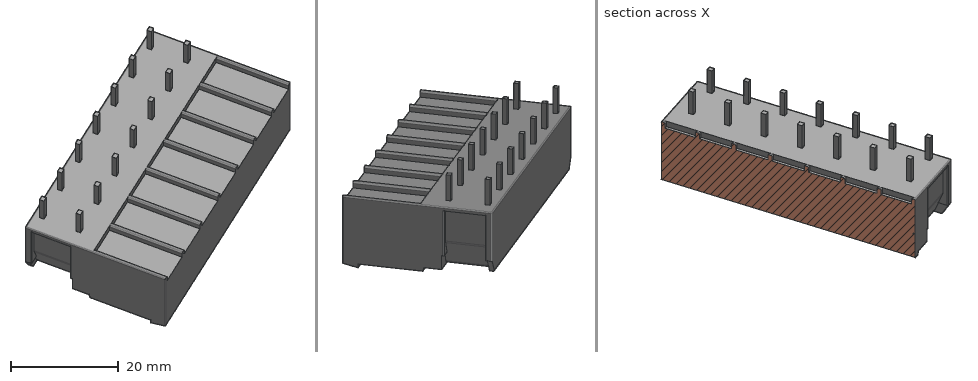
import cadquery as cq
import math

LENGTH_X = 29.0
WIDTH_Y = 53.35
HEIGHT_Z = 19.3
EDGE_RADIUS = 0.2

POLES = 7
POLE_PITCH = 7.65
PIN_ROWS = 2
ROW_PITCH = 7.6
FIRST_ROW_X = 1.85
PIN_X = 0.9
PIN_Y = 1.0
PIN_LENGTH = 5.2

FRONT_DEPTH = 12.5
STEP_DEPTH = 12.65
FOOT_DEPTH = 13.4
REAR_DEPTH = 13.55
HOOK_DEPTH = HEIGHT_Z - PIN_LENGTH
STEP_X = 9.8
FOOT_X = 13.45
FOOT_CHAMFER = 0.2
HOOK_X = 26.0
FRONT_RADIUS = 0.3

TROUGH_X = 14.05
TROUGH_DEPTH = 1.25
RIB_WIDTH = 0.95
END_RIB_WIDTH = 0.85
RIB_RADIUS = 0.3

RECESS_X = 1.4
RECESS_END_X = 9.35
RECESS_TOP_DEPTH = 0.75
RECESS_DEPTH_Y = 1.05
MOUTH_CHAMFER = 0.15
SLOPE_ANGLE = math.radians(22)
SLOPE_TOP_DEPTH = 7.4
SLOPE_TOP_RADIUS = 0.9
SLOPE_END_RADIUS = 0.8

CUT_TOP_DEPTH = 9.85
CUT_ANGLE = math.radians(30)
END_WALL = 0.95

END_Y = -WIDTH_Y / 2


def pole_y(pole):
    return (pole - (POLES - 1) / 2) * POLE_PITCH


def outline_at_x(x):
    """Workplane for a (Y, Z) outline that is extruded towards +X."""
    return cq.Workplane("YZ", origin=(x, 0, 0))


def make_body():
    profile = [
        (0, 0),
        (LENGTH_X, 0),
        (LENGTH_X, -REAR_DEPTH),
        (HOOK_X, -HOOK_DEPTH),
        (HOOK_X, -FOOT_DEPTH),
        (FOOT_X, -FOOT_DEPTH),
        (FOOT_X - FOOT_CHAMFER, -STEP_DEPTH),
        (STEP_X, -STEP_DEPTH),
        (STEP_X, -FRONT_DEPTH),
        (0, -FRONT_DEPTH),
    ]
    body = cq.Workplane("XZ").polyline(profile).close().extrude(WIDTH_Y / 2, both=True)
    corner_edges = "|Z and (<Y or >Y) and (<X or >X)"
    rim_edges = ">Z and (not >X)"
    body = body.edges(f"({corner_edges}) or ({rim_edges})").fillet(EDGE_RADIUS)
    front_bottom_edge = cq.NearestToPointSelector((0, 0, -FRONT_DEPTH))
    return body.edges(front_bottom_edge).fillet(FRONT_RADIUS)


def make_trough(pole):
    inner_limit = WIDTH_Y / 2 - END_RIB_WIDTH
    half_width = (POLE_PITCH - RIB_WIDTH) / 2
    low = max(pole_y(pole) - half_width, -inner_limit)
    high = min(pole_y(pole) + half_width, inner_limit)
    return (
        outline_at_x(TROUGH_X)
        .moveTo(low, -TROUGH_DEPTH)
        .lineTo(low, -RIB_RADIUS)
        .radiusArc((low - RIB_RADIUS, 0), -RIB_RADIUS)
        .lineTo(high + RIB_RADIUS, 0)
        .radiusArc((high, -RIB_RADIUS), -RIB_RADIUS)
        .lineTo(high, -TROUGH_DEPTH)
        .close()
        .extrude(LENGTH_X - TROUGH_X)
    )


def make_cavity(x_start, x_end):
    """Recess with its upright floor, rounded bend, slope and rounded lower lip."""
    floor_y = END_Y + RECESS_DEPTH_Y
    lip_y = floor_y + (FRONT_DEPTH - SLOPE_TOP_DEPTH) * math.tan(SLOPE_ANGLE)
    bend_tangent = SLOPE_TOP_RADIUS * math.tan(SLOPE_ANGLE / 2)
    lip_tangent = SLOPE_END_RADIUS * math.tan((math.pi / 2 - SLOPE_ANGLE) / 2)
    along_y = math.sin(SLOPE_ANGLE)
    along_z = math.cos(SLOPE_ANGLE)
    bend_end = (floor_y + bend_tangent * along_y, -SLOPE_TOP_DEPTH - bend_tangent * along_z)
    lip_start = (lip_y - lip_tangent * along_y, -FRONT_DEPTH + lip_tangent * along_z)
    return (
        outline_at_x(x_start)
        .moveTo(END_Y, -RECESS_TOP_DEPTH)
        .lineTo(floor_y, -RECESS_TOP_DEPTH)
        .lineTo(floor_y, -SLOPE_TOP_DEPTH + bend_tangent)
        .tangentArcPoint(bend_end, relative=False)
        .lineTo(*lip_start)
        .tangentArcPoint((lip_y + lip_tangent, -FRONT_DEPTH), relative=False)
        .lineTo(END_Y, -FRONT_DEPTH)
        .close()
        .extrude(x_end - x_start)
    )


def make_mouth():
    """Flared mouth along the upright sides of the recess."""
    outline = [
        (RECESS_X - MOUTH_CHAMFER, END_Y),
        (RECESS_END_X + MOUTH_CHAMFER, END_Y),
        (RECESS_END_X, END_Y + MOUTH_CHAMFER),
        (RECESS_X, END_Y + MOUTH_CHAMFER),
    ]
    base = cq.Workplane("XY", origin=(0, 0, -CUT_TOP_DEPTH))
    return base.polyline(outline).close().extrude(CUT_TOP_DEPTH - RECESS_TOP_DEPTH)


def make_corner_cut():
    """Sloping cut across the lower corner of the end wall."""
    cut_width = (FRONT_DEPTH - CUT_TOP_DEPTH) * math.tan(CUT_ANGLE)
    section = [
        (END_Y, -CUT_TOP_DEPTH),
        (END_Y + cut_width, -FRONT_DEPTH),
        (END_Y, -FRONT_DEPTH),
    ]
    return outline_at_x(0).polyline(section).close().extrude(STEP_X)


def make_end_recess():
    """Everything removed at the -Y end."""
    above_cut = cq.Workplane("XY", origin=(0, 0, -CUT_TOP_DEPTH)).rect(2 * LENGTH_X, 2 * WIDTH_Y)
    wide_part = make_cavity(END_WALL, STEP_X).cut(above_cut.extrude(CUT_TOP_DEPTH))
    recess = make_cavity(RECESS_X, RECESS_END_X)
    return recess.union(wide_part).union(make_mouth()).union(make_corner_cut())


def make_pins():
    centers = [
        (FIRST_ROW_X + row * ROW_PITCH, pole_y(pole))
        for row in range(PIN_ROWS)
        for pole in range(POLES)
    ]
    return cq.Workplane("XY").pushPoints(centers).rect(PIN_X, PIN_Y).extrude(PIN_LENGTH)


result = make_body()
for trough_pole in range(POLES):
    result = result.cut(make_trough(trough_pole))
end_recess = make_end_recess()
result = result.cut(end_recess).cut(end_recess.mirror("XZ"))
result = result.union(make_pins())